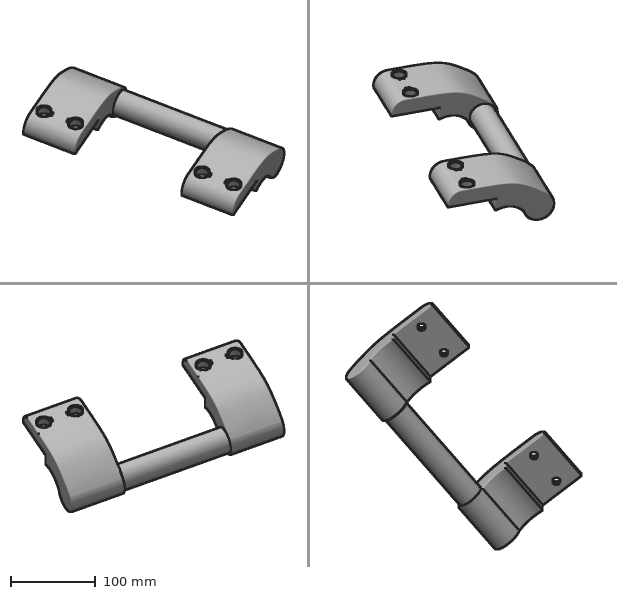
import cadquery as cq
import math


overall_length = 279.0
bracket_width = 69.5
rod_radius = 16.2

head_radius = 19.0
overall_depth = 132.2
overall_height = 60.5
top_z = overall_height - head_radius
nose_y = head_radius - overall_depth
nose_radius = 18.0
nose_start_y = -96.5
foot_z = 21.0
step_y = -54.0
crown_points = [(-2.8, 25.7), (-23.5, 36.5), (-57.2, 41.3)]
crown_start_angle = math.radians(42)
head_low_angle = math.radians(-60)
nose_middle_angle = math.radians(135)
step_end_z = 4.5
cove_middle = (-36.3, 6.7)
cove_corner_z = -4.2
side_fillet = 1.5

hole_spacing = 41.8
hole_y = -85.5
screw_radius = 4.6
bore_radius = 7.5
bore_depth = 12.5
cap_radius = 9.0
cap_depth = 1.5
notch_reach = 11.0
notch_width = 5.5
cutter_margin = 1.5

bracket_x = (overall_length - bracket_width) / 2
rod_length = overall_length - 2 * bracket_width


def on_circle(center, radius, angle):
    return center[0] + radius * math.cos(angle), center[1] + radius * math.sin(angle)


def bracket_blank():
    crown_start = on_circle((0, 0), head_radius, crown_start_angle)
    crown_direction = (-math.sin(crown_start_angle), math.cos(crown_start_angle))
    nose_center_y = nose_y + nose_radius
    nose_rise = math.sqrt(nose_radius**2 - (nose_start_y - nose_center_y)**2)
    nose_center = (nose_center_y, top_z - nose_rise)
    nose_middle = on_circle(nose_center, nose_radius, nose_middle_angle)
    foot_drop = nose_center[1] - foot_z
    nose_end_y = nose_center_y - math.sqrt(nose_radius**2 - foot_drop**2)
    cove_corner = (-math.sqrt(head_radius**2 - cove_corner_z**2), cove_corner_z)
    head_low = on_circle((0, 0), head_radius, head_low_angle)

    profile = (
        cq.Workplane("YZ", origin=(-bracket_width / 2, 0, 0))
        .moveTo(*crown_start)
        .spline(
            crown_points + [(nose_start_y, top_z)],
            tangents=[crown_direction, (-1, 0)],
            includeCurrent=True,
        )
        .threePointArc(nose_middle, (nose_end_y, foot_z))
        .lineTo(step_y, foot_z)
        .lineTo(step_y, step_end_z)
        .threePointArc(cove_middle, cove_corner)
        .threePointArc(head_low, crown_start)
        .close()
    )
    blank = profile.extrude(bracket_width)
    return blank.faces("<X or >X").edges().fillet(side_fillet)


def screw_hole_cutter(x, notch_side):
    """Stepped screw hole at x; its pry notch points along notch_side (+1 or -1)."""
    cutter_top = top_z + cutter_margin
    cutter_bottom = foot_z - cutter_margin
    seat_z = top_z - cap_depth
    cone_top = top_z - bore_depth
    cone_bottom = cone_top - (bore_radius - screw_radius)
    hole = (
        cq.Workplane("XZ")
        .polyline([
            (0, cutter_top),
            (cap_radius, cutter_top),
            (cap_radius, seat_z),
            (bore_radius, seat_z),
            (bore_radius, cone_top),
            (screw_radius, cone_bottom),
            (screw_radius, cutter_bottom),
            (0, cutter_bottom),
        ])
        .close()
        .revolve(360, (0, 0), (0, 1))
    )
    notch = (
        cq.Workplane("XY", origin=(notch_side * notch_reach / 2, 0, seat_z))
        .rect(notch_reach, notch_width)
        .extrude(cutter_top - seat_z)
    )
    return hole.union(notch).translate((x, hole_y, 0))


def make_bracket(center_x):
    bracket = bracket_blank()
    for side in (-1, 1):
        bracket = bracket.cut(screw_hole_cutter(side * hole_spacing / 2, -side))
    return bracket.translate((center_x, 0, 0))


def make_rod():
    return cq.Workplane("YZ", origin=(-rod_length / 2, 0, 0)).circle(rod_radius).extrude(rod_length)


brackets = [make_bracket(side * bracket_x) for side in (-1, 1)]
rod = make_rod()

result = cq.Compound.makeCompound([*[bracket.val() for bracket in brackets], rod.val()])